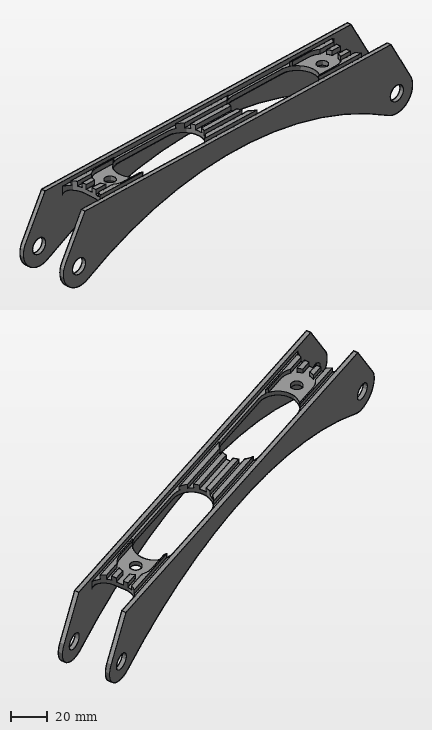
import cadquery as cq
import math

length = 274.5
width = 33.0
height = 46.0
wall = 2.7
inner_width = width - 2 * wall

lug_radius = 13.0
lug_y = length / 2 - lug_radius
lug_z = lug_radius
lug_low_angle = math.radians(-45)
pin_hole_diameter = 10.2
pin_hole_y = 125.0
top_edge_half = 120.3
arch_crown_z = 32.7

web_half_length = 100.0
web_thickness = 6.0
web_end_radius = 11.0
web_end_flat = 7.1
inner_fillet = 2.5
groove_depth = 3.0
groove_floor_z = height - groove_depth

rib_spans = [(2.2, 5.2), (8.0, 11.0)]

window_width = 24.2
window_inner_y = 13.7
window_outer_y = 76.0
window_mid_y = (window_inner_y + window_outer_y) / 2
bolt_y = 83.5
bolt_hole_diameter = 7.0
seat_radius = 10.2

overcut = 2.7


def side_outline():
    """Closed YZ outline of a side plate: sloped ends, round lugs and an arch tangent to both lugs."""
    crown_rise = arch_crown_z - lug_z
    reach = crown_rise + lug_radius
    arch_centre_drop = (lug_y**2 - reach**2) / (2 * reach)
    arch_radius = arch_centre_drop + crown_rise
    lug_share = lug_radius / (arch_radius + lug_radius)
    arch_end_y = lug_y * (1 - lug_share)
    arch_end_z = lug_z - arch_centre_drop * lug_share

    corner_dy = top_edge_half - lug_y
    corner_dz = height - lug_z
    corner_angle = math.atan2(corner_dz, corner_dy)
    tangent_angle = corner_angle - math.acos(lug_radius / math.hypot(corner_dy, corner_dz))
    slope_end_y = lug_y + lug_radius * math.cos(tangent_angle)
    slope_end_z = lug_z + lug_radius * math.sin(tangent_angle)

    low_y = lug_y + lug_radius * math.cos(lug_low_angle)
    low_z = lug_z + lug_radius * math.sin(lug_low_angle)

    return (
        cq.Workplane("YZ")
        .moveTo(-top_edge_half, height)
        .lineTo(top_edge_half, height)
        .lineTo(slope_end_y, slope_end_z)
        .threePointArc((low_y, low_z), (arch_end_y, arch_end_z))
        .threePointArc((0, arch_crown_z), (-arch_end_y, arch_end_z))
        .threePointArc((-low_y, low_z), (-slope_end_y, slope_end_z))
        .close()
    )


def block(x_size, y_size, z_low, z_high):
    """Box centred on X and Y between two heights."""
    return cq.Workplane("XY").workplane(offset=z_low).rect(x_size, y_size).extrude(z_high - z_low)


def open_end(side):
    """Gap between the plates beyond the web, curving towards the plates where it meets the web."""
    gap_length = length / 2
    z_range = (-overcut, height + overcut)
    gap = block(web_end_flat + 2 * web_end_radius, gap_length, *z_range)
    web_edges = "|Z and <Y" if side > 0 else "|Z and >Y"
    gap = gap.edges(web_edges).fillet(web_end_radius)
    gap = gap.intersect(block(inner_width, gap_length, *z_range))
    return gap.translate((0, side * (web_half_length + gap_length / 2), 0))


def channel():
    """Arched channel with filleted inner corners and a web shorter than the plates."""
    body = side_outline().extrude(width / 2, both=True)
    hollow = block(inner_width, length, -overcut, height - web_thickness)
    hollow = hollow.edges("|Y and >Z").fillet(inner_fillet)
    return body.cut(hollow).cut(open_end(1)).cut(open_end(-1))


def grooves():
    """Lengthwise channels in the top of the web, leaving the ribs between them."""
    cutter = block(inner_width, length, groove_floor_z, height)
    for inner_x, outer_x in rib_spans:
        rib = block(outer_x - inner_x, length, groove_floor_z, height)
        for side in (-1, 1):
            cutter = cutter.cut(rib.translate((side * (inner_x + outer_x) / 2, 0, 0)))
    return cutter


def window(side):
    """Round-ended through window on one half of the web."""
    return (
        cq.Workplane("XY")
        .center(0, side * window_mid_y)
        .slot2D(window_outer_y - window_inner_y, window_width, 90)
        .extrude(height)
    )


def bolt_seat(side):
    """Flat seat at groove depth, round at the far end and running on into the window."""
    seat_outer_y = bolt_y + seat_radius
    return (
        cq.Workplane("XY")
        .workplane(offset=groove_floor_z)
        .center(0, side * (window_mid_y + seat_outer_y) / 2)
        .slot2D(seat_outer_y - window_mid_y, 2 * seat_radius, 90)
        .extrude(groove_depth)
    )


def bolt_hole(side):
    """Vertical hole through the web in the middle of a seat."""
    return cq.Workplane("XY").center(0, side * bolt_y).circle(bolt_hole_diameter / 2).extrude(height)


def pin_hole(side):
    """Cross hole through both lugs at one end."""
    return (
        cq.Workplane("YZ")
        .center(side * pin_hole_y, lug_z)
        .circle(pin_hole_diameter / 2)
        .extrude(width / 2, both=True)
    )


part = channel().cut(grooves())
for end in (-1, 1):
    for cutter in (window(end), bolt_seat(end), bolt_hole(end), pin_hole(end)):
        part = part.cut(cutter)

result = part.solids()